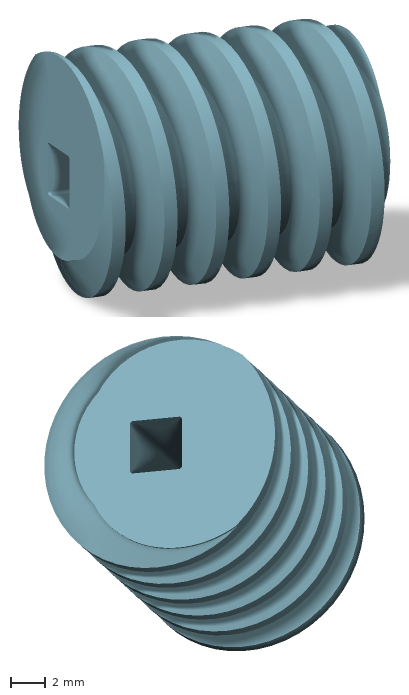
import cadquery as cq
import math

length = 18.9
end_rim = 0.17
threaded_length = length - end_rim
outer_diameter = 14.6
root_diameter = 10.02

pitch = 3.29
crest_width = 0.83
flank_angle = 20
crest_offset = 0.66

drive_size = 3.2
drive_corner_radius = 0.19

root_embedding = 0.19
extra_turns = 2
end_overrun = 11.34


def make_ridge():
    """Right-handed trapezoidal thread ridge around Z, overrunning both ends of the worm."""
    start = crest_offset - extra_turns * pitch
    turns = math.ceil(threaded_length / pitch) + 2 * extra_turns
    crest_radius = outer_diameter / 2
    base_radius = root_diameter / 2 - root_embedding
    crest_half = crest_width / 2
    base_half = crest_half + (crest_radius - base_radius) * math.tan(math.radians(flank_angle))

    path = cq.Wire.makeHelix(pitch, turns * pitch, base_radius, center=cq.Vector(0, 0, start))
    profile = (
        cq.Workplane("XZ")
        .moveTo(base_radius, start - base_half)
        .lineTo(crest_radius, start - crest_half)
        .lineTo(crest_radius, start + crest_half)
        .lineTo(base_radius, start + base_half)
        .close()
    )
    return profile.sweep(cq.Workplane(path), isFrenet=True)


def make_drive_hole():
    """Square through hole with rounded corners."""
    square = cq.Workplane("XY").rect(drive_size, drive_size).extrude(length)
    return square.edges("|Z").fillet(drive_corner_radius)


core = (
    cq.Workplane("XY")
    .workplane(offset=-end_overrun)
    .circle(root_diameter / 2)
    .extrude(threaded_length + 2 * end_overrun)
)
trim_block = cq.Workplane("XY").box(
    2 * outer_diameter, 2 * outer_diameter, threaded_length, centered=(True, True, False)
)
threaded_body = core.union(make_ridge()).intersect(trim_block)

worm = threaded_body.faces(">Z").wires().toPending().extrude(end_rim)
worm = worm.cut(make_drive_hole())

result = worm.rotate((0, 0, 0), (1, 0, 0), -90)